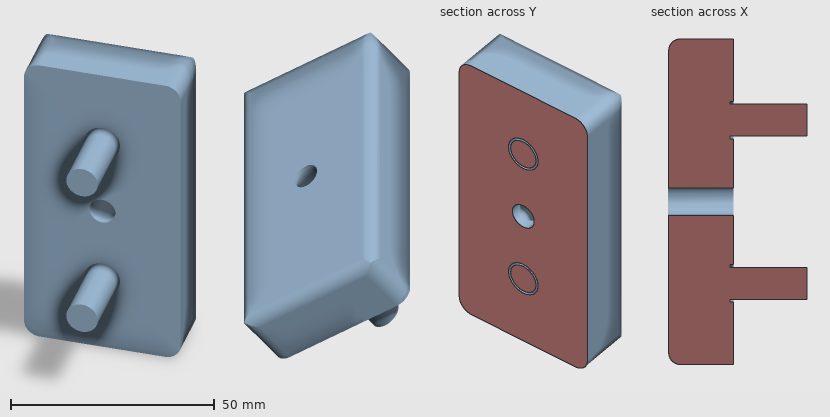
import cadquery as cq

block_width = 40.0
block_depth = 16.0
block_height = 80.0
corner_radius = 4.0
back_edge_radius = 3.0

pin_diameter = 8.0
pin_length = 18.0
pin_spacing = block_height / 2
hole_diameter = 6.6

recess_diameter = 9.0
recess_depth = 0.8


def cylinder(diameter, z, y_start, y_end):
    """Cylinder along Y between two depths, at height z."""
    base = cq.Workplane("XZ", origin=(0, y_end, z))
    return base.circle(diameter / 2).extrude(y_end - y_start)


def slab():
    """Sharp-edged box with the outer size of the block."""
    return cq.Workplane("XY").box(
        block_width, block_depth, block_height, centered=(True, False, True)
    )


block = slab().edges("|Y").fillet(corner_radius)
for back_edges in ("|X and >Y", "|Z and >Y"):
    block = block.intersect(slab().edges(back_edges).fillet(back_edge_radius))

result = block.cut(cylinder(hole_diameter, 0, 0, block_depth))

for pin_z in (-pin_spacing / 2, pin_spacing / 2):
    result = result.cut(cylinder(recess_diameter, pin_z, 0, recess_depth))
    result = result.union(cylinder(pin_diameter, pin_z, -pin_length, recess_depth))